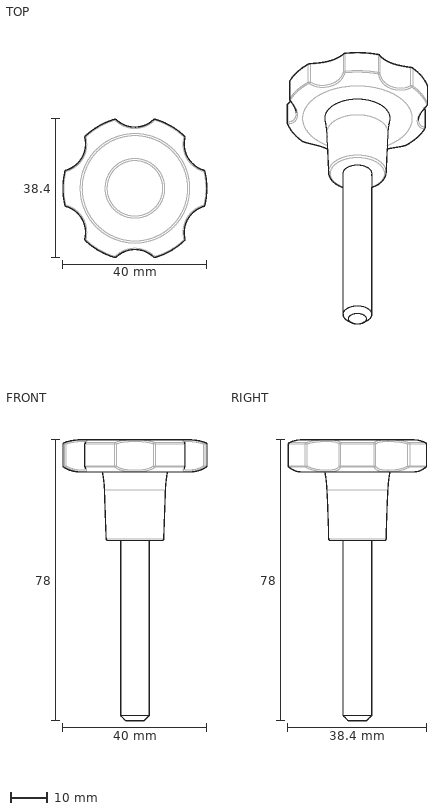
import cadquery as cq
import math

total_height = 78.0
stud_radius = 4.0
stud_tip_chamfer = 1.5

hub_bottom_z = 50.0
neck_bottom_z = 64.0
hub_bottom_radius = 8.0
hub_draft = math.radians(2.0)
neck_top_radius = 9.05
hub_bottom_fillet = 0.5

head_thickness = 9.0
head_radius = 20.0
top_shoulder_drop = 0.95
bottom_shoulder_rise = 1.5
head_edge_fillet = 0.45

scallop_count = 6
scallop_radius = 7.5
scallop_floor_radius = 17.0
scallop_first_angle = 30.0
lobe_corner_fillet = 0.6

dish_depth = 2.75
dish_rim_radius = 14.9
dish_floor_radius = 8.0
dish_round_setback = 0.3

crown_radius = dish_rim_radius + dish_round_setback
head_bottom_z = total_height - head_thickness

overlap = 1.0


def shoulder_mid_point(drop):
    """Radius and drop halfway along a shoulder arc that leaves the head's flat level tangentially."""
    run = head_radius - crown_radius
    arc_radius = (run ** 2 + drop ** 2) / (2 * drop)
    half_angle = math.asin(run / arc_radius) / 2
    mid_radius = crown_radius + arc_radius * math.sin(half_angle)
    mid_drop = arc_radius * (1 - math.cos(half_angle))
    return mid_radius, mid_drop


def make_head_blank():
    """Dished disc whose top and bottom faces curve away towards the rim."""
    top_mid_radius, top_mid_drop = shoulder_mid_point(top_shoulder_drop)
    bottom_mid_radius, bottom_mid_rise = shoulder_mid_point(bottom_shoulder_rise)

    dish_slope = math.atan2(dish_depth, dish_rim_radius - dish_floor_radius)
    slope_run = dish_round_setback * math.cos(dish_slope)
    slope_rise = dish_round_setback * math.sin(dish_slope)
    dish_floor_z = total_height - dish_depth

    return (
        cq.Workplane("XZ")
        .moveTo(0, head_bottom_z)
        .lineTo(crown_radius, head_bottom_z)
        .threePointArc(
            (bottom_mid_radius, head_bottom_z + bottom_mid_rise),
            (head_radius, head_bottom_z + bottom_shoulder_rise),
        )
        .lineTo(head_radius, total_height - top_shoulder_drop)
        .threePointArc(
            (top_mid_radius, total_height - top_mid_drop),
            (crown_radius, total_height),
        )
        .tangentArcPoint((dish_rim_radius - slope_run, total_height - slope_rise), relative=False)
        .lineTo(dish_floor_radius + slope_run, dish_floor_z + slope_rise)
        .tangentArcPoint((dish_floor_radius - dish_round_setback, dish_floor_z), relative=False)
        .lineTo(0, dish_floor_z)
        .close()
        .revolve(360, (0, 0, 0), (0, 1, 0))
        .rotate((0, 0, 0), (0, 0, 1), scallop_first_angle)
    )


def is_outline_edge(edge):
    """True for edges along the lobed outline, false for the circles around the dish and base."""
    start = edge.startPoint()
    return math.hypot(start.x, start.y) > (crown_radius + scallop_floor_radius) / 2


def cut_scallops(head):
    """Cut the finger scallops, then round the lobe corners and the head outline."""
    scallops = (
        cq.Workplane("XY")
        .workplane(offset=head_bottom_z - overlap)
        .polarArray(scallop_floor_radius + scallop_radius, scallop_first_angle, 360, scallop_count)
        .circle(scallop_radius)
        .extrude(head_thickness + 2 * overlap)
    )
    lobed = head.cut(scallops).edges("|Z").fillet(lobe_corner_fillet)
    outline = lobed.edges("not |Z").filter(is_outline_edge)
    return lobed.newObject(outline.vals()).fillet(head_edge_fillet)


def make_hub():
    """Tapered barrel with a rounded bottom edge and a neck that flares smoothly into the head."""
    neck_bottom_radius = hub_bottom_radius + (neck_bottom_z - hub_bottom_z) * math.tan(hub_draft)
    hub = (
        cq.Workplane("XZ")
        .moveTo(0, hub_bottom_z)
        .lineTo(hub_bottom_radius, hub_bottom_z)
        .lineTo(neck_bottom_radius, neck_bottom_z)
        .tangentArcPoint((neck_top_radius, head_bottom_z), relative=False)
        .lineTo(0, head_bottom_z)
        .close()
        .revolve(360, (0, 0, 0), (0, 1, 0))
    )
    return hub.faces("<Z").edges().fillet(hub_bottom_fillet)


def make_stud():
    """Plain round stud with a chamfered tip."""
    return (
        cq.Workplane("XY")
        .circle(stud_radius)
        .extrude(hub_bottom_z)
        .faces("<Z")
        .chamfer(stud_tip_chamfer)
    )


head = cut_scallops(make_head_blank())
result = head.union(make_hub()).union(make_stud())